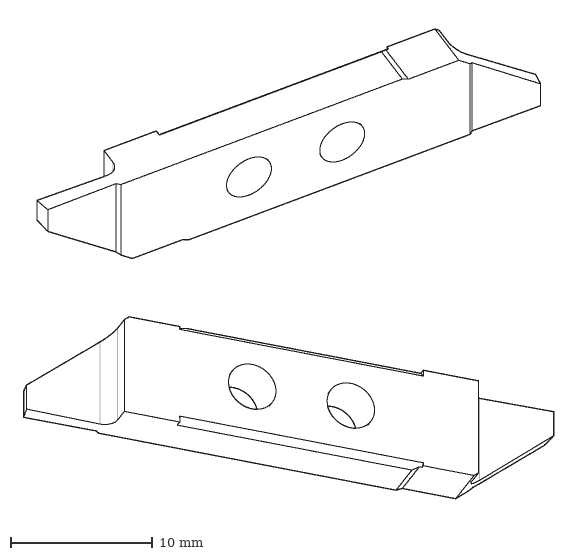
import cadquery as cq
import math

thickness = 3.6
length = 40.0
height = 8.0
half_thickness = thickness / 2
half_length = length / 2
half_height = height / 2

body_half_length = 13.45
blade_root_left = -half_thickness + 2.3
blade_tip_left = -half_thickness + 2.2
blade_tip_right = half_thickness - 0.2
tip_setback = 0.25
root_radius = 0.95

relief_start = 14.0
relief_end = 14.3
relief_depth = 0.25

slope_angle = 40.0
tip_height = 1.95
ledge_depth = 0.25
ledge_end = 9.05
ramp_end = 8.55

chamfer_size = 0.5
chamfer_half_length = 9.25

hole_diameter = 3.6
hole_spacing = 7.5


def make_plan_half():
    """Body and blade for the +Y half, extruded over the full height."""
    root_end = body_half_length + root_radius
    arc_centre_x = blade_root_left - root_radius
    arc_offset = root_radius * math.sqrt(0.5)
    return (
        cq.Workplane("XY", origin=(0, 0, -half_height))
        .moveTo(-half_thickness, 0)
        .lineTo(-half_thickness, body_half_length)
        .lineTo(arc_centre_x, body_half_length)
        .threePointArc(
            (arc_centre_x + arc_offset, root_end - arc_offset),
            (blade_root_left, root_end),
        )
        .lineTo(blade_tip_left, half_length)
        .lineTo(blade_tip_right, half_length - tip_setback)
        .lineTo(half_thickness - relief_depth, relief_end)
        .lineTo(half_thickness, relief_start)
        .lineTo(half_thickness, 0)
        .close()
        .extrude(height)
    )


def make_side_profile():
    """Side outline for the +Y half, extruded through the thickness."""
    slope_start_z = -half_height + tip_height
    ledge_z = half_height - ledge_depth
    slope_top_y = half_length - (ledge_z - slope_start_z) / math.tan(math.radians(slope_angle))
    outline = [
        (0, -half_height),
        (half_length, -half_height),
        (half_length, slope_start_z),
        (slope_top_y, ledge_z),
        (ledge_end, ledge_z),
        (ramp_end, half_height),
        (0, half_height),
    ]
    return (
        cq.Workplane("YZ", origin=(-half_thickness, 0, 0))
        .polyline(outline)
        .close()
        .extrude(thickness)
    )


def make_chamfer_cutter():
    """Triangular bar that removes the upper edge of the -X face."""
    corner = (-half_thickness, half_height)
    return (
        cq.Workplane("XZ")
        .polyline([
            corner,
            (corner[0] + chamfer_size, corner[1]),
            (corner[0], corner[1] - chamfer_size),
        ])
        .close()
        .extrude(chamfer_half_length, both=True)
    )


def half_turn(shape):
    """Rotate a shape by 180 degrees about the X axis."""
    return shape.rotate((0, 0, 0), (1, 0, 0), 180)


end_half = make_plan_half().intersect(make_side_profile())
body = end_half.union(half_turn(end_half))

chamfer_cutter = make_chamfer_cutter()
body = body.cut(chamfer_cutter).cut(half_turn(chamfer_cutter))

holes = (
    cq.Workplane("YZ", origin=(-half_thickness, 0, 0))
    .pushPoints([(-hole_spacing / 2, 0), (hole_spacing / 2, 0)])
    .circle(hole_diameter / 2)
    .extrude(thickness)
)
result = body.cut(holes)